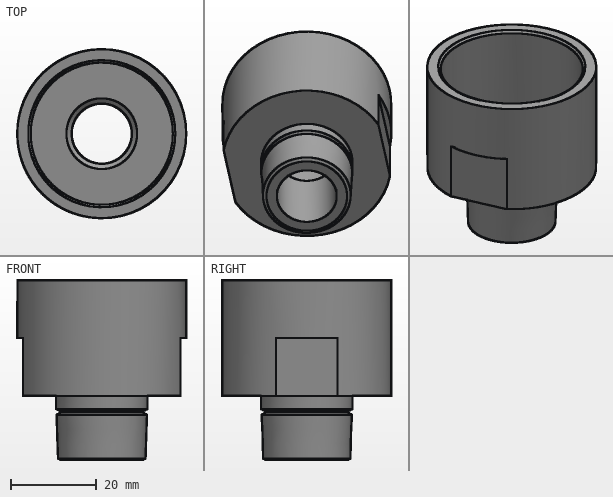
import cadquery as cq

total_height = 42.0
body_diameter = 39.5
body_height = 27.0
body_radius = body_diameter / 2
body_base = total_height - body_height

flat_distance = 36.8
flat_height = body_height / 2

bore_diameter = 33.2
bore_depth = 22.0
bore_chamfer = 0.6
hole_diameter = 14.0
hole_chamfer = 1.25
bore_radius = bore_diameter / 2
hole_radius = hole_diameter / 2
bore_floor = total_height - bore_depth

neck_radius = 10.7
neck_length = 3.02
groove_radius = 9.65
groove_floor_start = 3.53
groove_floor_end = 3.9
taper_top_radius = 10.6
taper_start = 4.4
taper_end_radius = 10.25
end_chamfer_width = 0.85
end_chamfer_height = 0.4


def make_outer_form():
    """Revolve the body and spigot as one solid profile."""
    profile = [
        (0, 0),
        (taper_end_radius - end_chamfer_width, 0),
        (taper_end_radius, end_chamfer_height),
        (taper_top_radius, body_base - taper_start),
        (groove_radius, body_base - groove_floor_end),
        (groove_radius, body_base - groove_floor_start),
        (neck_radius, body_base - neck_length),
        (neck_radius, body_base),
        (body_radius, body_base),
        (body_radius, total_height),
        (0, total_height),
    ]
    return cq.Workplane("XZ").polyline(profile).close().revolve(360, (0, 0), (0, 1))


def make_cavity():
    """Revolve the chamfered cup bore together with the chamfered through hole."""
    profile = [
        (0, 0),
        (hole_radius, 0),
        (hole_radius, bore_floor - hole_chamfer),
        (hole_radius + hole_chamfer, bore_floor),
        (bore_radius, bore_floor),
        (bore_radius, total_height - bore_chamfer),
        (bore_radius + bore_chamfer, total_height),
        (0, total_height),
    ]
    return cq.Workplane("XZ").polyline(profile).close().revolve(360, (0, 0), (0, 1))


def make_flat_cutter(side):
    """Block that trims one wrench flat on the +X (side = 1) or -X (side = -1) side."""
    cutter_width = body_radius
    center_x = side * (flat_distance + cutter_width) / 2
    return (
        cq.Workplane("XY", origin=(center_x, 0, body_base))
        .box(cutter_width, body_diameter, flat_height, centered=(True, True, False))
    )


result = make_outer_form().cut(make_cavity())
for side in (-1, 1):
    result = result.cut(make_flat_cutter(side))